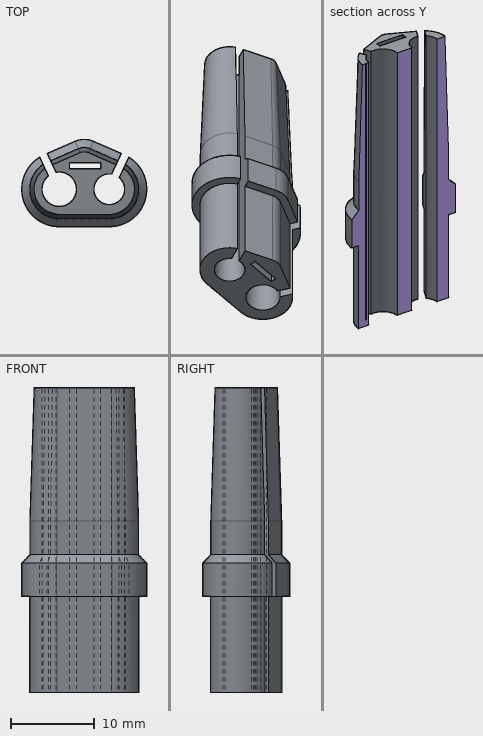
import cadquery as cq
import math

flange_bottom = 11.5
flange_shoulder = 15.48
flange_top = 16.5
taper_start = 20.5
total_height = 36.5

overall_width = 15.0
overall_depth = 10.48
bore_offset = 3.0
roof_radius = 2.75
base_angle = math.radians(4.5)
flange_radius = overall_width / 2 - bore_offset
lower_inset = 0.95
upper_inset = 1.0
tip_inset = 1.5

left_bore_radius = 2.05
right_bore_radius = 1.82
slit_width = 1.0
slit_length = 7.3
slit_angle = 25

slot_length = 3.72
slot_width = 0.7
slot_center = (0.1, 2.8)

base_depth = flange_radius * math.cos(base_angle)
roof_center_y = overall_depth - base_depth - roof_radius

center_distance = math.hypot(bore_offset, roof_center_y)
center_slope = math.atan2(roof_center_y, bore_offset)
roof_angle = math.acos((flange_radius - roof_radius) / center_distance) - math.pi / 2 + center_slope


def outline(inset, z):
    """Closed wire of the flange outline moved inward by inset, at height z."""
    end_radius = flange_radius - inset
    tip_radius = roof_radius - inset
    sine = math.sin(roof_angle)
    cosine = math.cos(roof_angle)
    shoulder_x = bore_offset + end_radius * sine
    shoulder_y = end_radius * cosine
    tip_x = tip_radius * sine
    tip_y = roof_center_y + tip_radius * cosine
    base_x = bore_offset + end_radius * math.sin(base_angle)
    base_y = -end_radius * math.cos(base_angle)
    return (
        cq.Workplane("XY", origin=(0, 0, z))
        .moveTo(-base_x, base_y)
        .lineTo(base_x, base_y)
        .threePointArc((bore_offset + end_radius, 0), (shoulder_x, shoulder_y))
        .lineTo(tip_x, tip_y)
        .threePointArc((0, roof_center_y + tip_radius), (-tip_x, tip_y))
        .lineTo(-shoulder_x, shoulder_y)
        .threePointArc((-bore_offset - end_radius, 0), (-base_x, base_y))
        .close()
    )


def straight(inset, bottom, top):
    """Prism of the inset outline between two heights."""
    return outline(inset, bottom).extrude(top - bottom)


def tapered(bottom_inset, bottom, top_inset, top):
    """Straight-sided transition between two inset outlines."""
    wires = [outline(bottom_inset, bottom).val(), outline(top_inset, top).val()]
    return cq.Workplane(cq.Solid.makeLoft(wires, True))


def slit_bore(side, radius):
    """Through bore with its slit; side is -1 for left and 1 for right."""
    bore = cq.Workplane("XY").center(side * bore_offset, 0).circle(radius).extrude(total_height)
    slit = (
        cq.Workplane("XY")
        .rect(slit_width, slit_length)
        .extrude(total_height)
        .translate((0, slit_length / 2, 0))
        .rotate((0, 0, 0), (0, 0, 1), -side * slit_angle)
        .translate((side * bore_offset, 0, 0))
    )
    return bore.union(slit)


body = (
    straight(lower_inset, 0, flange_bottom)
    .union(straight(0, flange_bottom, flange_shoulder))
    .union(tapered(0, flange_shoulder, upper_inset, flange_top))
    .union(straight(upper_inset, flange_top, taper_start))
    .union(tapered(upper_inset, taper_start, tip_inset, total_height))
)

slot = cq.Workplane("XY").center(*slot_center).rect(slot_length, slot_width).extrude(total_height)

result = body.cut(slit_bore(-1, left_bore_radius)).cut(slit_bore(1, right_bore_radius)).cut(slot)